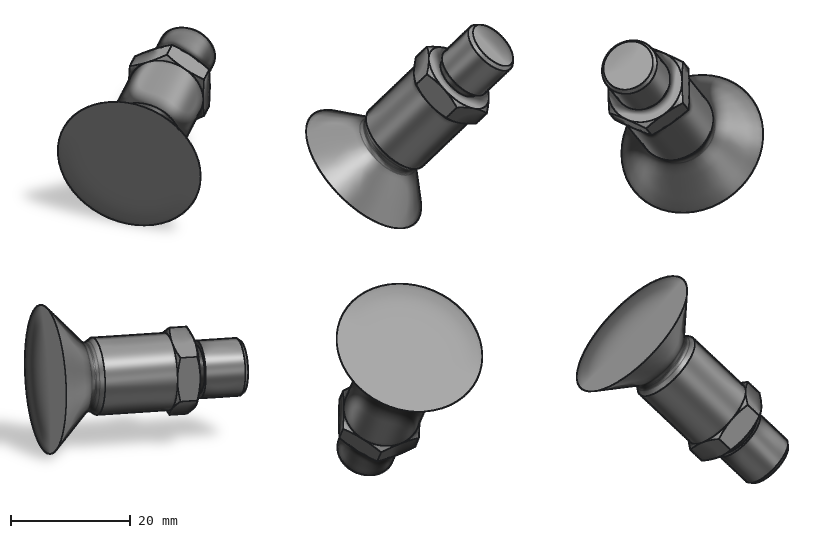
import cadquery as cq
import math

total_length = 34.0

cup_diameter = 25.0
neck_diameter = 11.6
neck_start = 6.55
neck_end = 7.45
neck_fillet = 0.92
neck_selection_margin = 0.1

body_diameter = 13.0
body_start = 8.5

nut_start = 21.08
nut_end = 25.02
nut_across_flats = body_diameter
nut_corner_bevel = 0.5

groove_diameter = 8.0
thread_start = 26.5
thread_diameter = 9.72
thread_bevel_length = 0.65
thread_bevel_depth = 0.5


def revolve_profile(points):
    """Revolve a closed outline of (radius, Y) points about the Y axis."""
    return cq.Workplane("XY").polyline(points).close().revolve(360, (0, 0, 0), (0, 1, 0))


def make_turned_body():
    cup_radius = cup_diameter / 2
    neck_radius = neck_diameter / 2
    body_radius = body_diameter / 2
    groove_radius = groove_diameter / 2
    thread_radius = thread_diameter / 2
    turned = revolve_profile([
        (0, 0),
        (cup_radius, 0),
        (neck_radius, neck_start),
        (neck_radius, neck_end),
        (body_radius, body_start),
        (body_radius, nut_end),
        (groove_radius, nut_end),
        (groove_radius, thread_start),
        (thread_radius, thread_start),
        (thread_radius, total_length - thread_bevel_length),
        (thread_radius - thread_bevel_depth, total_length),
        (0, total_length),
    ])
    neck_zone = cq.selectors.BoxSelector(
        (-cup_radius, neck_start - neck_selection_margin, -cup_radius),
        (cup_radius, neck_end + neck_selection_margin, cup_radius),
        boundingbox=True,
    )
    neck_edges = turned.edges(neck_zone).edges("%CIRCLE")
    return neck_edges.fillet(neck_fillet)


def make_nut():
    across_corners = nut_across_flats / math.cos(math.pi / 6)
    flat_radius = nut_across_flats / 2
    corner_radius = across_corners / 2
    hex_plane = cq.Plane(origin=(0, nut_start, 0), xDir=(0, 0, 1), normal=(0, 1, 0))
    hexagon = cq.Workplane(hex_plane).polygon(6, across_corners).extrude(nut_end - nut_start)
    bevel_envelope = revolve_profile([
        (0, nut_start),
        (flat_radius, nut_start),
        (corner_radius, nut_start + nut_corner_bevel),
        (corner_radius, nut_end - nut_corner_bevel),
        (flat_radius, nut_end),
        (0, nut_end),
    ])
    return hexagon.intersect(bevel_envelope)


result = make_turned_body().union(make_nut())